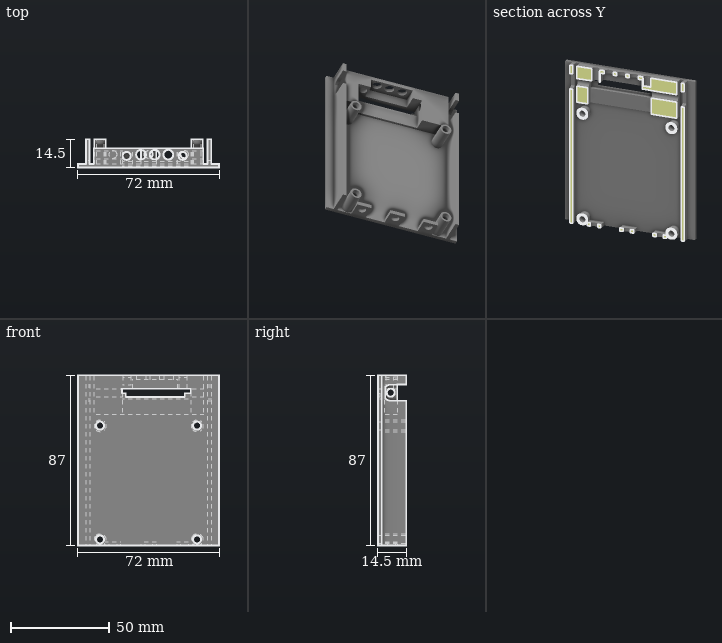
import cadquery as cq


plate_width = 72.0
plate_height = 87.0
wall = 2.0
overall_depth = 14.5
small_bore = 4.0
rail_inset = 4.0
rail_center_x = plate_width / 2 - rail_inset - wall / 2

block_width = 55.9
block_bottom = plate_height - 20.0
block_back = 10.0
bore_y = 6.6

post_diameter = 6.0
post_spacing_x = 49.5
post_spacing_z = 58.0
lower_post_z = 3.2

window_top = plate_height - 7.0
window_center_x = 4.0
window_width = 35.0
window_step = 2.2
window_height = 4.2
lower_window_center_x = 3.4
lower_window_width = 29.9
window_lip = wall / 2
recess_bottom = window_top - window_height - window_lip
sill_back = 3.3

opening_center_x = 3.1
opening_diameter = 4.9
opening_pitch = 7.0
opening_cavity_width = 23.05
light_offset = 14.3
light_y = 6.0
light_seat_diameter = 4.2
light_seat_depth = wall / 2
blind_light_depth = 5.0

cross_bore_z = plate_height - 9.0
notch_radius = 4.1
notch_floor_y = 3.8

lug_width = 7.9
lug_pitch = 18.3
lug_bore_y = 6.9


def box(center_x, width, y_start, y_end, z_start, z_end):
    """Box centred on center_x, between the given Y and Z limits."""
    size = (width, y_end - y_start, z_end - z_start)
    start = (center_x, y_start, z_start)
    return cq.Workplane("XY", origin=start).box(*size, centered=(True, False, False))


def rod_y(x, z, diameter, length):
    """Cylinder along +Y that starts on y = 0."""
    return cq.Workplane("XZ", origin=(x, 0, z)).circle(diameter / 2).extrude(-length)


def rod_down(x, y, diameter, z_top, depth):
    """Cylinder that runs down from z_top."""
    return cq.Workplane("XY", origin=(x, y, z_top)).circle(diameter / 2).extrude(-depth)


def cross_rod(diameter, length):
    """Cylinder along X on the axis of the cross bore, centred on the part."""
    axis_plane = cq.Workplane("YZ", origin=(0, bore_y, cross_bore_z))
    return axis_plane.circle(diameter / 2).extrude(length / 2, both=True)


def make_rails():
    """Two full-height rails, each with a round-bottomed notch open at the back."""
    rails = cq.Workplane("XY")
    for side in (-1, 1):
        rails = rails.union(box(side * rail_center_x, wall, 0, overall_depth, 0, plate_height))
    notch_bottom = cross_bore_z - notch_radius
    notch_top = cross_bore_z + notch_radius
    notch = box(0, plate_width, bore_y, overall_depth, notch_bottom, notch_top)
    notch = notch.union(cross_rod(2 * notch_radius, plate_width))
    notch = notch.intersect(box(0, plate_width, notch_floor_y, overall_depth, notch_bottom, notch_top))
    return rails.cut(notch)


def make_block():
    """Block whose cavity is open at the back and below, narrower under the middle openings."""
    block = box(0, block_width, 0, block_back, block_bottom, plate_height)
    block = block.cut(box(window_center_x, window_width, wall, block_back, recess_bottom, window_top))
    block = block.cut(box(window_center_x, window_width, sill_back, block_back, block_bottom, recess_bottom))
    block = block.cut(
        box(opening_center_x, opening_cavity_width, wall, block_back, window_top, plate_height - wall)
    )
    for step in (-1, 0, 1):
        opening_x = opening_center_x + step * opening_pitch
        block = block.cut(rod_down(opening_x, bore_y, opening_diameter, plate_height, wall))
    for side, depth in ((-1, blind_light_depth), (1, plate_height - window_top)):
        light_x = opening_center_x + side * light_offset
        block = block.cut(rod_down(light_x, light_y, light_seat_diameter, plate_height, light_seat_depth))
        block = block.cut(rod_down(light_x, light_y, small_bore, plate_height, depth))
    return block.cut(cross_rod(small_bore, plate_width))


def make_lugs():
    """Three bored lugs on the lower edge of the plate."""
    lugs = cq.Workplane("XY")
    for step in (-1, 0, 1):
        lug = box(step * lug_pitch, lug_width, 0, block_back, 0, wall)
        lugs = lugs.union(lug.cut(rod_down(step * lug_pitch, lug_bore_y, small_bore, wall, wall)))
    return lugs


def make_window():
    """Stepped opening in the front lip, growing to a plain rectangle behind it."""
    window_bottom = window_top - window_height
    upper = box(window_center_x, window_width, 0, wall, window_top - window_step, window_top)
    lower = box(lower_window_center_x, lower_window_width, 0, wall, window_bottom, window_top)
    recess = box(window_center_x, window_width, window_lip, wall, recess_bottom, window_top)
    return upper.union(lower).union(recess)


result = box(0, plate_width, 0, wall, 0, plate_height)
result = result.union(make_rails()).union(make_block()).union(make_lugs())

for side in (-1, 1):
    for row in (0, 1):
        post_x = side * post_spacing_x / 2
        post_z = lower_post_z + row * post_spacing_z
        result = result.union(rod_y(post_x, post_z, post_diameter, overall_depth))
        result = result.cut(rod_y(post_x, post_z, small_bore, overall_depth))

result = result.cut(make_window())